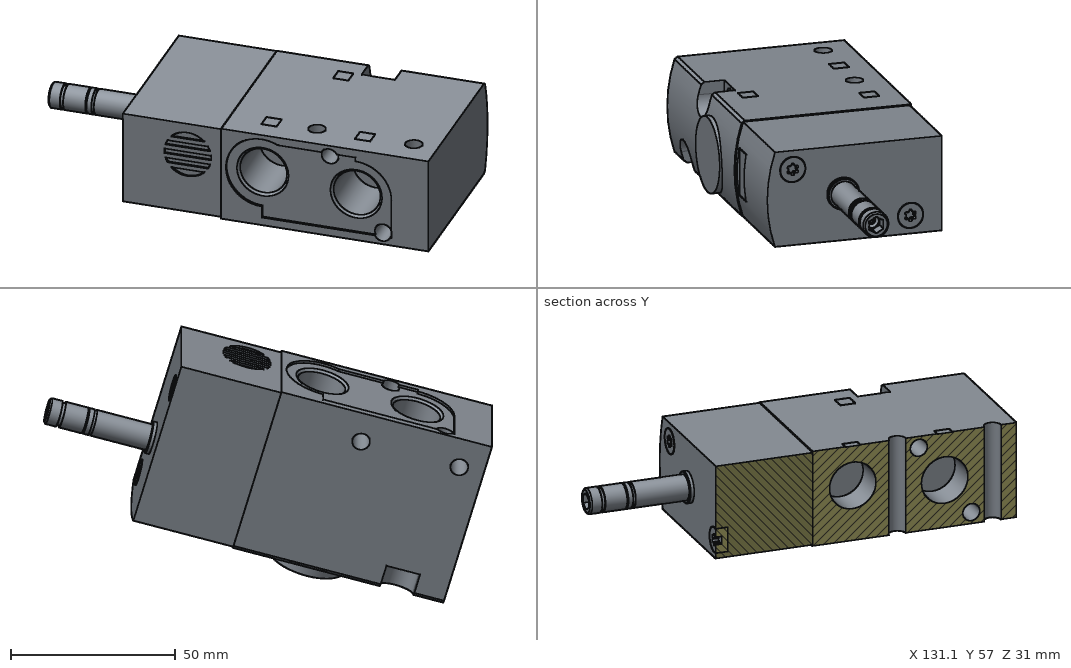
import cadquery as cq
import math


BODY_LENGTH = 66.3
BODY_HEIGHT = 31.0
BODY_DEPTH = 56.4
DOME_RADIUS = 47.9
BODY_EDGE_CHAMFER = 0.8

PORT_DIAMETER = 15.0
PORT_MOUTH_DIAMETER = 16.5
PORT_MOUTH_DEPTH = (PORT_MOUTH_DIAMETER - PORT_DIAMETER) / 2
PORT_DEPTH = 19.7
LEFT_PORT_X = 13.1
LEFT_PORT_Z = 2.5
RIGHT_PORT_X = 43.0
RIGHT_PORT_Z = 0.0
RECESS_RADIUS = 11.5
RECESS_HALF_HEIGHT = 12.8
RECESS_DEPTH = 0.8

MOUNTING_HOLE_DIAMETER = 5.4
MOUNTING_HOLE_Z = 11.7
UPPER_HOLE_X = 34.6
LOWER_HOLE_X = 51.7
HEAD_SLOT_WIDTH = 10.6
HEAD_SLOT_FLOOR_Y = 46.7
CROSS_HOLE_DIAMETER = 5.4
CROSS_HOLE_Y = 9.2
CROSS_HOLE_XS = (27.7, 58.6)

BOSS_DIAMETER = 23.7
BOSS_X = 24.3
BOSS_Z = -2.5
BOSS_TOP_Y = 57.0

LABEL_SIZE = 4.9
LABEL_DEPTH = 0.1
BACK_LABEL_Y = 44.2
LABEL_CENTRES = (
    (LEFT_PORT_X, CROSS_HOLE_Y),
    (RIGHT_PORT_X, CROSS_HOLE_Y),
    (BOSS_X, BACK_LABEL_Y),
)

PILOT_LENGTH = 31.5
PILOT_INSET = 0.4
PILOT_HEIGHT = BODY_HEIGHT - 2 * PILOT_INSET
PILOT_BACK_Y = BODY_DEPTH - PILOT_INSET
PILOT_FACE_X = -PILOT_LENGTH

GRILLE_DIAMETER = 15.0
GRILLE_X = -10.8
GRILLE_Z = 4.6
GRILLE_DEPTH = 0.7
GRILLE_BAR_COUNT = 4
GRILLE_BAR_WIDTH = 1.5
GRILLE_BAR_PITCH = 3.0

CREST_POCKET_WIDTH = 6.8
CREST_POCKET_HEIGHT = 15.0
CREST_POCKET_DEPTH = 0.8
CREST_POCKET_X = -5.1

STEM_DIAMETER = 8.1
STEM_LENGTH = 33.3
STEM_Y = 32.0
STEM_TIP_X = PILOT_FACE_X - STEM_LENGTH
STEM_TIP_CHAMFER = 0.5
FLANGE_DIAMETER = 10.0
FLANGE_THICKNESS = 1.3
FLANGE_CHAMFER = 0.2
STEM_GROOVES = (
    (3.8, 1.0, 7.1),
    (11.9, 0.4, 7.1),
    (13.9, 0.8, 7.6),
)
SOCKET_CORNER_DIAMETER = 5.2
SOCKET_DEPTH = 3.9
COUNTERSINK_DIAMETER = 4.0
BORE_DIAMETER = 2.4
BORE_DEPTH = 1.3
FINE_BORE_DIAMETER = 0.9
FINE_BORE_DEPTH = 1.3

SCREW_DIAMETER = 8.1
SCREW_LENGTH = 3.9
SCREW_EDGE_CHAMFER = 0.1
SCREW_CENTRES = ((47.9, 9.0), (10.4, -9.3))
DRIVE_CORE_DIAMETER = 2.8
DRIVE_LOBE_DIAMETER = 0.9
DRIVE_OUTER_DIAMETER = 3.8
DRIVE_LOBE_COUNT = 6
DRIVE_DEPTH = 2.0


def y_cylinder(diameter, x, z, y_start, y_end):
    """Cylinder along Y between two Y levels."""
    direction = cq.Vector(0, 1, 0)
    return cq.Workplane(cq.Solid.makeCylinder(
        diameter / 2, y_end - y_start, cq.Vector(x, y_start, z), direction))


def x_cone(start_diameter, end_diameter, length, x, y, z):
    """Cone frustum (or cylinder) that runs toward +X from the given point."""
    start = cq.Vector(x, y, z)
    direction = cq.Vector(1, 0, 0)
    if start_diameter == end_diameter:
        return cq.Workplane(cq.Solid.makeCylinder(start_diameter / 2, length, start, direction))
    return cq.Workplane(cq.Solid.makeCone(start_diameter / 2, end_diameter / 2, length, start, direction))


def domed_block(x_start, length, height, front_y, crest_y, dome_radius):
    """Block along X with flat top, bottom and front, and a back that bulges in an arc."""
    half = height / 2
    dome_edge_y = crest_y - dome_radius + math.sqrt(dome_radius**2 - half**2)
    return (
        cq.Workplane("YZ", origin=(x_start, 0, 0))
        .moveTo(front_y, -half)
        .lineTo(dome_edge_y, -half)
        .threePointArc((crest_y, 0), (dome_edge_y, half))
        .lineTo(front_y, half)
        .close()
        .extrude(length)
    )


def port_recess():
    """Shallow recess round both ports in the mounting face."""
    left_top_x = LEFT_PORT_X + math.sqrt(RECESS_RADIUS**2 - (RECESS_HALF_HEIGHT - LEFT_PORT_Z) ** 2)
    diagonal = RECESS_RADIUS * math.sqrt(0.5)
    return (
        cq.Workplane("XZ")
        .moveTo(LEFT_PORT_X, -RECESS_HALF_HEIGHT)
        .lineTo(LEFT_PORT_X, LEFT_PORT_Z - RECESS_RADIUS)
        .threePointArc((LEFT_PORT_X - RECESS_RADIUS, LEFT_PORT_Z), (left_top_x, RECESS_HALF_HEIGHT))
        .lineTo(RIGHT_PORT_X, RECESS_HALF_HEIGHT)
        .lineTo(RIGHT_PORT_X, RIGHT_PORT_Z + RECESS_RADIUS)
        .threePointArc(
            (RIGHT_PORT_X + diagonal, RIGHT_PORT_Z + diagonal),
            (RIGHT_PORT_X + RECESS_RADIUS, RIGHT_PORT_Z),
        )
        .lineTo(RIGHT_PORT_X + RECESS_RADIUS, -RECESS_HALF_HEIGHT)
        .close()
        .extrude(-RECESS_DEPTH)
    )


def port(x, z):
    """Blind port with a chamfered mouth, starting at the recess floor."""
    bore = y_cylinder(PORT_DIAMETER, x, z, 0, PORT_DEPTH)
    mouth = cq.Workplane(cq.Solid.makeCone(
        PORT_MOUTH_DIAMETER / 2, PORT_DIAMETER / 2, PORT_MOUTH_DEPTH,
        cq.Vector(x, RECESS_DEPTH, z), cq.Vector(0, 1, 0)))
    return bore.union(mouth)


def mounting_hole(x, side):
    """Through-hole along Y with a head slot that opens to the top (side = 1) or bottom (side = -1)."""
    z = side * MOUNTING_HOLE_Z
    hole = y_cylinder(MOUNTING_HOLE_DIAMETER, x, z, 0, BODY_DEPTH)
    slot_end = y_cylinder(HEAD_SLOT_WIDTH, x, z, HEAD_SLOT_FLOOR_Y, BODY_DEPTH)
    slot_height = BODY_HEIGHT / 2 - MOUNTING_HOLE_Z
    slot = cq.Workplane("XY").box(
        HEAD_SLOT_WIDTH, BODY_DEPTH - HEAD_SLOT_FLOOR_Y, slot_height
    ).translate((x, (BODY_DEPTH + HEAD_SLOT_FLOOR_Y) / 2, z + side * slot_height / 2))
    return hole.union(slot_end).union(slot)


def make_valve_body():
    body = domed_block(0, BODY_LENGTH, BODY_HEIGHT, 0, BODY_DEPTH, DOME_RADIUS)
    dome_edges = cq.selectors.BoxSelector(
        (0, BODY_DEPTH / 2, -BODY_HEIGHT), (BODY_LENGTH, BODY_DEPTH, BODY_HEIGHT))
    body = body.edges("|X").edges(dome_edges).chamfer(BODY_EDGE_CHAMFER)

    body = body.union(y_cylinder(BOSS_DIAMETER, BOSS_X, BOSS_Z, HEAD_SLOT_FLOOR_Y, BOSS_TOP_Y))
    body = body.cut(port_recess())
    body = body.cut(port(LEFT_PORT_X, LEFT_PORT_Z))
    body = body.cut(port(RIGHT_PORT_X, RIGHT_PORT_Z))
    body = body.cut(mounting_hole(UPPER_HOLE_X, 1))
    body = body.cut(mounting_hole(LOWER_HOLE_X, -1))

    cross_holes = (
        cq.Workplane("XY", origin=(0, 0, -BODY_HEIGHT / 2))
        .pushPoints([(x, CROSS_HOLE_Y) for x in CROSS_HOLE_XS])
        .circle(CROSS_HOLE_DIAMETER / 2)
        .extrude(BODY_HEIGHT)
    )
    labels = (
        cq.Workplane("XY", origin=(0, 0, BODY_HEIGHT / 2))
        .pushPoints(LABEL_CENTRES)
        .rect(LABEL_SIZE, LABEL_SIZE)
        .extrude(-LABEL_DEPTH)
    )
    return body.cut(cross_holes).cut(labels)


def grille_slots():
    """Round recess crossed by evenly spaced bars left flush with the front face."""
    slots = y_cylinder(GRILLE_DIAMETER, GRILLE_X, GRILLE_Z, PILOT_INSET, PILOT_INSET + GRILLE_DEPTH)
    for index in range(GRILLE_BAR_COUNT):
        bar_z = GRILLE_Z + (index - (GRILLE_BAR_COUNT - 1) / 2) * GRILLE_BAR_PITCH
        bar = cq.Workplane("XY").box(GRILLE_DIAMETER, GRILLE_DEPTH, GRILLE_BAR_WIDTH)
        slots = slots.cut(bar.translate((GRILLE_X, PILOT_INSET + GRILLE_DEPTH / 2, bar_z)))
    return slots


def crest_pocket():
    """Flat-bottomed pocket across the crest of the pilot dome."""
    pocket = cq.Workplane("XY").box(CREST_POCKET_WIDTH, CREST_POCKET_DEPTH, CREST_POCKET_HEIGHT)
    return pocket.translate((CREST_POCKET_X, PILOT_BACK_Y - CREST_POCKET_DEPTH / 2, 0))


def stem_socket():
    """Hexagon socket in the stem tip that narrows to a countersunk bore and then a fine bore."""
    hexagon = (
        cq.Workplane("YZ", origin=(STEM_TIP_X, STEM_Y, 0))
        .transformed(rotate=(0, 0, 90))
        .polygon(6, SOCKET_CORNER_DIAMETER)
        .extrude(SOCKET_DEPTH)
    )
    countersink_x = STEM_TIP_X + SOCKET_DEPTH
    bore_x = countersink_x + (COUNTERSINK_DIAMETER - BORE_DIAMETER) / 2
    taper_x = bore_x + BORE_DEPTH
    fine_bore_x = taper_x + (BORE_DIAMETER - FINE_BORE_DIAMETER) / 2

    countersink = x_cone(
        COUNTERSINK_DIAMETER, BORE_DIAMETER, bore_x - countersink_x, countersink_x, STEM_Y, 0)
    bore = x_cone(BORE_DIAMETER, BORE_DIAMETER, BORE_DEPTH, bore_x, STEM_Y, 0)
    taper = x_cone(BORE_DIAMETER, FINE_BORE_DIAMETER, fine_bore_x - taper_x, taper_x, STEM_Y, 0)
    fine_bore = x_cone(FINE_BORE_DIAMETER, FINE_BORE_DIAMETER, FINE_BORE_DEPTH, fine_bore_x, STEM_Y, 0)
    return hexagon.union(countersink).union(bore).union(taper).union(fine_bore)


def make_stem():
    stem = x_cone(STEM_DIAMETER, STEM_DIAMETER, STEM_LENGTH, STEM_TIP_X, STEM_Y, 0)
    stem = stem.faces("<X").chamfer(STEM_TIP_CHAMFER)
    for offset, width, floor_diameter in STEM_GROOVES:
        groove_x = STEM_TIP_X + offset
        ring = x_cone(FLANGE_DIAMETER, FLANGE_DIAMETER, width, groove_x, STEM_Y, 0)
        ring = ring.cut(x_cone(floor_diameter, floor_diameter, width, groove_x, STEM_Y, 0))
        stem = stem.cut(ring)
    flange_x = PILOT_FACE_X - FLANGE_THICKNESS
    flange = x_cone(FLANGE_DIAMETER, FLANGE_DIAMETER, FLANGE_THICKNESS, flange_x, STEM_Y, 0)
    flange = flange.faces("<X").chamfer(FLANGE_CHAMFER)
    return stem.union(flange).cut(stem_socket())


def make_pilot_housing():
    housing = domed_block(
        PILOT_FACE_X, PILOT_LENGTH, PILOT_HEIGHT, PILOT_INSET, PILOT_BACK_Y, DOME_RADIUS - PILOT_INSET)
    housing = housing.cut(grille_slots()).cut(crest_pocket())
    for y, z in SCREW_CENTRES:
        housing = housing.cut(x_cone(SCREW_DIAMETER, SCREW_DIAMETER, SCREW_LENGTH, PILOT_FACE_X, y, z))
    return housing.union(make_stem())


def make_screw(y, z):
    """Screw head flush with the pilot face, with a six-lobe drive."""
    screw = x_cone(SCREW_DIAMETER, SCREW_DIAMETER, SCREW_LENGTH, PILOT_FACE_X, y, z)
    screw = screw.faces("<X").chamfer(SCREW_EDGE_CHAMFER)
    drive = x_cone(DRIVE_CORE_DIAMETER, DRIVE_CORE_DIAMETER, DRIVE_DEPTH, PILOT_FACE_X, y, z)
    lobe_radius = (DRIVE_OUTER_DIAMETER - DRIVE_LOBE_DIAMETER) / 2
    for index in range(DRIVE_LOBE_COUNT):
        angle = math.pi / 2 + 2 * math.pi * index / DRIVE_LOBE_COUNT
        lobe_y = y + lobe_radius * math.cos(angle)
        lobe_z = z + lobe_radius * math.sin(angle)
        lobe = x_cone(DRIVE_LOBE_DIAMETER, DRIVE_LOBE_DIAMETER, DRIVE_DEPTH, PILOT_FACE_X, lobe_y, lobe_z)
        drive = drive.union(lobe)
    return screw.cut(drive)


valve_body = make_valve_body()
pilot_housing = make_pilot_housing()
screws = [make_screw(y, z) for y, z in SCREW_CENTRES]

result = cq.Compound.makeCompound(
    [valve_body.val(), pilot_housing.val(), *[screw.val() for screw in screws]])